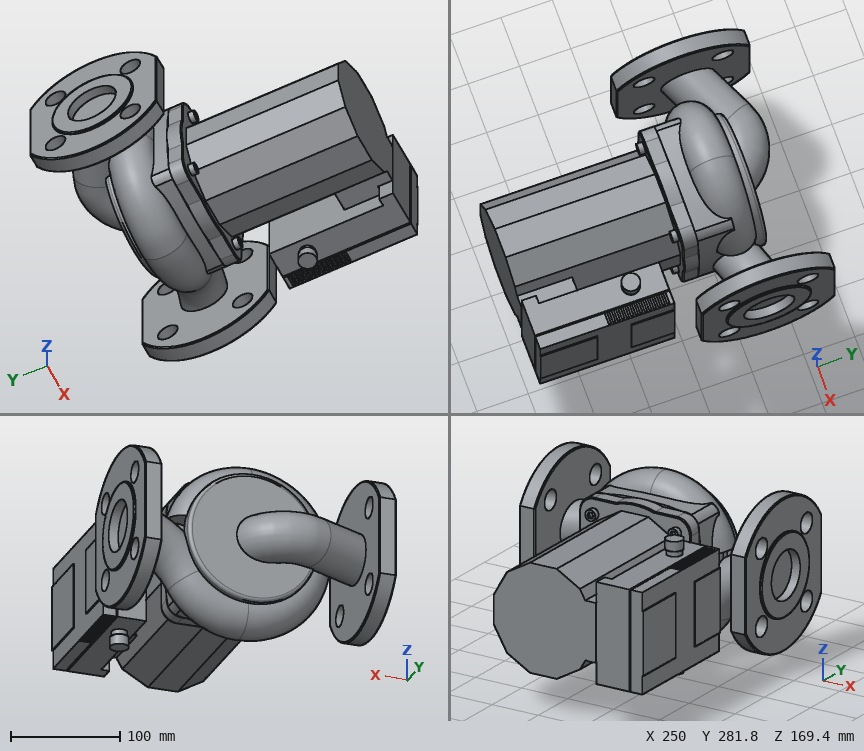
import cadquery as cq
import math


overall_length = 250.0
flange_width = 130.0
motor_end_y = flange_width / 2 - 281.8

flange_diameter = 150.5
flange_thickness = 17.0
flange_edge_chamfer = 1.0
raised_face_diameter = 82.8
raised_face_height = 2.0
raised_face_chamfer = 1.0
bolt_hole_diameter = 20.3
bolt_hole_pitch = 76.5
bore_diameter = 49.0
bore_depth = 9.3
face_x = overall_length / 2
flange_front_x = face_x - raised_face_height
flange_back_x = flange_front_x - flange_thickness

suction_radius = 23.7
suction_slope = 25
suction_bend_radius = 37.0
suction_bend_x = -38.5
suction_bend_y = -5.0

volute_y = -10.0
volute_tube_radius = 22.8
volute_first_radius = 54.7
volute_growth = 4.8
volute_start = 12
outlet_turn = 60
outlet_turn_radius = 56.4
outlet_end_y = 3.7

core_radius = 56.4
cap_radius = 63.7
cap_bottom_y = 8.5
cap_top_y = 20.3
cap_fillet = 3.5

screw_pitch = 90.0
corner_radius = 15.5
joint_y = -46.0
plate_front_y = -60.9
plate_chamfer = 1.0
bulge_half_width = 63.7
plate_bulge_half_length = 21.0
wall_end = 51.5
boss_top_y = -10.1
screw_at = screw_pitch / 2
corner_flat = screw_at + corner_radius
wall_end_offset = screw_at + math.sqrt(corner_radius ** 2 - (wall_end - screw_at) ** 2)

motor_sides = 12
motor_across_flats = 108.2
motor_across_corners = motor_across_flats / math.cos(math.pi / motor_sides)

box_left_x = 65.5
box_right_x = 93.3
box_back_y = -86.0
box_height = 100.3
seam_width = 1.0
seam_depth = 0.8
cover_right_x = 107.3
box_foot_x = 57.5
box_foot_length = 14.0
foot_gap = 0.8
neck_back_y = -163.0
neck_height = 59.0

panel_height = 63.7
panel_thickness = 1.0
back_panel_length = 42.3
front_panel_length = 55.5
slot_count = 14
slot_row_length = 57.0
slot_pitch = slot_row_length / (slot_count - 1)
slot_width = 2.3
slot_depth = 1.5
first_slot_offset = 5.4
slot_end_wall = 1.5

gland_x = 79.5
gland_y = -118.3
gland_neck_diameter = 15.0
gland_neck_length = 5.4
gland_cap_diameter = 17.5
gland_cap_length = 10.0

screw_head_diameter = 11.0
screw_head_height = 5.5
socket_across_corners = 6.5
socket_depth = 2.8


def box_between(x0, x1, y0, y1, height):
    """Block between two X and two Y positions, centred on Z = 0."""
    return (
        cq.Workplane("XY")
        .box(x1 - x0, y1 - y0, height, centered=(False, False, True))
        .translate((x0, y0, 0))
    )


def facing_motor(y):
    """Sketch plane at the given Y, with X right, Z up and its normal towards -Y."""
    return cq.Workplane("XZ", origin=(0, y, 0))


def flange():
    """Right-hand flange with two flats, a raised face and four bolt holes."""
    disc = cq.Workplane("YZ", origin=(flange_back_x, 0, 0)).circle(flange_diameter / 2)
    disc = disc.extrude(flange_thickness)
    flats = cq.Workplane("XY").box(overall_length, flange_width, flange_diameter)
    body = disc.intersect(flats).faces("<X or >X").chamfer(flange_edge_chamfer)
    raised_face = cq.Workplane("YZ", origin=(flange_front_x, 0, 0)).circle(raised_face_diameter / 2)
    raised_face = raised_face.extrude(raised_face_height).faces(">X").chamfer(raised_face_chamfer)
    body = body.union(raised_face)
    holes = (
        cq.Workplane("YZ", origin=(flange_back_x, 0, 0))
        .rect(bolt_hole_pitch, bolt_hole_pitch, forConstruction=True)
        .vertices()
        .circle(bolt_hole_diameter / 2)
        .extrude(flange_thickness)
    )
    return body.cut(holes)


def bore():
    """Blind bore of the right-hand flange."""
    return cq.Workplane("YZ", origin=(face_x, 0, 0)).circle(bore_diameter / 2).extrude(-bore_depth)


def suction_pipe():
    slope = math.radians(suction_slope)
    along = (math.cos(slope), math.sin(slope))
    bend_start = (
        suction_bend_x - suction_bend_radius * along[1],
        suction_bend_y + suction_bend_radius * along[0],
    )
    bend_middle = (suction_bend_x, suction_bend_y + suction_bend_radius)
    bend_end = (suction_bend_x + suction_bend_radius, suction_bend_y)
    straight_length = (bend_start[0] + face_x) / along[0]
    start = (
        bend_start[0] - straight_length * along[0],
        bend_start[1] - straight_length * along[1],
    )
    path = cq.Workplane("XY").moveTo(*start).lineTo(*bend_start).threePointArc(bend_middle, bend_end)
    section = cq.Plane(origin=(*start, 0), xDir=(0, 0, 1), normal=(*along, 0))
    pipe = cq.Workplane(section).circle(suction_radius).sweep(path)
    return pipe.intersect(box_between(-flange_front_x, face_x, -flange_width, flange_width, flange_width))


def volute_arc(quarter, start, end):
    """Arc of the volute centreline between two angles in degrees, from +X towards +Z.

    The arc centres step round a small square, so that arc after arc is tangent and each
    quarter turn is larger than the one before.
    """
    corner = math.radians(135 + 90 * quarter)
    corner_distance = volute_growth * math.sqrt(0.5)
    radius = volute_first_radius + volute_growth * quarter

    def point(angle):
        turn = math.radians(angle)
        return cq.Vector(
            corner_distance * math.cos(corner) + radius * math.cos(turn),
            volute_y,
            corner_distance * math.sin(corner) + radius * math.sin(turn),
        )

    return cq.Edge.makeThreePointArc(point(start), point((start + end) / 2), point(end))


def volute():
    """Spiral tube round the casing, running on in one bend into the right-hand flange."""
    edges = [
        volute_arc(0, volute_start, 90),
        volute_arc(1, 90, 180),
        volute_arc(2, 180, 270),
    ]
    bottom = edges[-1].endPoint()
    turn = math.radians(outlet_turn)
    shoulder = bottom + cq.Vector(math.sin(turn), 0, 1 - math.cos(turn)) * outlet_turn_radius
    edges.append(cq.Edge.makeTangentArc(bottom, edges[-1].tangentAt(1), shoulder))
    outlet_end = cq.Vector(flange_back_x + flange_thickness / 2, outlet_end_y, 0)
    edges.append(cq.Edge.makeTangentArc(shoulder, edges[-1].tangentAt(1), outlet_end))
    section = cq.Plane(
        origin=edges[0].startPoint().toTuple(),
        xDir=(0, 1, 0),
        normal=edges[0].tangentAt(0).toTuple(),
    )
    path = cq.Workplane(cq.Wire.assembleEdges(edges))
    return cq.Workplane(section).circle(volute_tube_radius).sweep(path)


def quarter_turned(x, z, quarter):
    """Point turned clockwise about the motor axis by a number of quarter turns."""
    for _ in range(quarter):
        x, z = z, -x
    return x, z


def bulged_square(y, end, end_offset):
    """Closed outline of four bulged sides joined by corner arcs about the screw centres.

    Each side bulges between the points at distance `end` either side of its middle,
    which lie at `end_offset` from the motor axis.
    """
    diagonal = screw_at + corner_radius * math.sqrt(0.5)
    outline = facing_motor(y).moveTo(-end, end_offset)
    for quarter in range(4):
        bulge = quarter_turned(0, bulge_half_width, quarter)
        bulge_end = quarter_turned(end, end_offset, quarter)
        corner_middle = quarter_turned(diagonal, diagonal, quarter)
        next_bulge_start = quarter_turned(end_offset, end, quarter)
        outline = outline.threePointArc(bulge, bulge_end)
        if end < screw_at:
            corner_start = quarter_turned(screw_at, corner_flat, quarter)
            corner_end = quarter_turned(corner_flat, screw_at, quarter)
            outline = outline.lineTo(*corner_start).threePointArc(corner_middle, corner_end)
            outline = outline.lineTo(*next_bulge_start)
        else:
            outline = outline.threePointArc(corner_middle, next_bulge_start)
    return outline.close()


def casing_block():
    """Block of the casing behind the motor plate, with four corner bosses."""
    return bulged_square(boss_top_y, wall_end, wall_end_offset).extrude(boss_top_y - joint_y)


def casing_core():
    core = facing_motor(cap_top_y).circle(core_radius).extrude(cap_top_y - joint_y)
    cap = facing_motor(cap_top_y).circle(cap_radius).extrude(cap_top_y - cap_bottom_y)
    return core.union(cap.faces(">Y").edges().fillet(cap_fillet))


def make_housing():
    right_flange = flange()
    right_bore = bore()
    return (
        casing_core()
        .union(casing_block())
        .union(volute())
        .union(suction_pipe())
        .union(right_flange)
        .union(right_flange.mirror("YZ"))
        .cut(right_bore)
        .cut(right_bore.mirror("YZ"))
    )


def make_motor():
    """Motor: bulged square plate, twelve-sided shell and the neck under the terminal box."""
    plate = bulged_square(joint_y, plate_bulge_half_length, corner_flat)
    plate = plate.extrude(joint_y - plate_front_y).faces("<Y").chamfer(plate_chamfer)
    shell = (
        facing_motor(plate_front_y)
        .transformed(rotate=(0, 0, 180 / motor_sides))
        .polygon(motor_sides, motor_across_corners)
        .extrude(plate_front_y - motor_end_y)
    )
    neck = box_between(0, box_left_x, motor_end_y, neck_back_y, neck_height)
    foot_notch = box_between(
        box_foot_x - foot_gap,
        box_left_x,
        motor_end_y,
        motor_end_y + box_foot_length + foot_gap,
        neck_height,
    )
    return plate.union(shell).union(neck.cut(foot_notch))


def make_terminal_box():
    body = box_between(box_left_x, box_right_x, motor_end_y, box_back_y, box_height)
    foot = box_between(box_foot_x, box_left_x, motor_end_y, motor_end_y + box_foot_length, box_height)
    return body.union(foot)


def cover_panel(y0, y1):
    """Thin raised panel on the outer face of the cover."""
    return box_between(cover_right_x, cover_right_x + panel_thickness, y0, y1, panel_height)


def make_cover():
    """Cover with a recessed seam against the box, two raised panels and cooling slots."""
    lid_left_x = box_right_x + seam_width
    lid = box_between(lid_left_x, cover_right_x, motor_end_y, box_back_y, box_height)
    seam = box_between(
        box_right_x,
        lid_left_x,
        motor_end_y + seam_depth,
        box_back_y - seam_depth,
        box_height - 2 * seam_depth,
    )
    cover = lid.union(seam)
    cover = cover.union(cover_panel(box_back_y - back_panel_length, box_back_y))
    cover = cover.union(cover_panel(motor_end_y, motor_end_y + front_panel_length))
    for side in (-1, 1):
        for index in range(slot_count):
            slot_y = box_back_y - first_slot_offset - index * slot_pitch
            slot = box_between(
                lid_left_x,
                cover_right_x - slot_end_wall,
                slot_y - slot_width / 2,
                slot_y + slot_width / 2,
                2 * slot_depth,
            )
            cover = cover.cut(slot.translate((0, 0, side * box_height / 2)))
    return cover


def make_gland():
    """Cable gland on the top of the terminal box."""
    neck = cq.Workplane("XY", origin=(gland_x, gland_y, box_height / 2))
    neck = neck.circle(gland_neck_diameter / 2).extrude(gland_neck_length)
    return neck.faces(">Z").workplane().circle(gland_cap_diameter / 2).extrude(gland_cap_length)


def make_screw(x, z):
    """Hexagon-socket screw head on the motor plate."""
    head = facing_motor(plate_front_y).center(x, z).circle(screw_head_diameter / 2)
    head = head.extrude(screw_head_height)
    socket = facing_motor(plate_front_y - screw_head_height).center(x, z)
    return head.cut(socket.polygon(6, socket_across_corners).extrude(-socket_depth))


housing = make_housing()
motor = make_motor()
terminal_box = make_terminal_box()
cover = make_cover()
top_gland = make_gland()
glands = [top_gland, top_gland.mirror("XY")]
screws = [make_screw(x, z) for x in (-screw_at, screw_at) for z in (-screw_at, screw_at)]

bodies = [housing, motor, terminal_box, cover, *glands, *screws]
result = cq.Compound.makeCompound([body.val() for body in bodies])